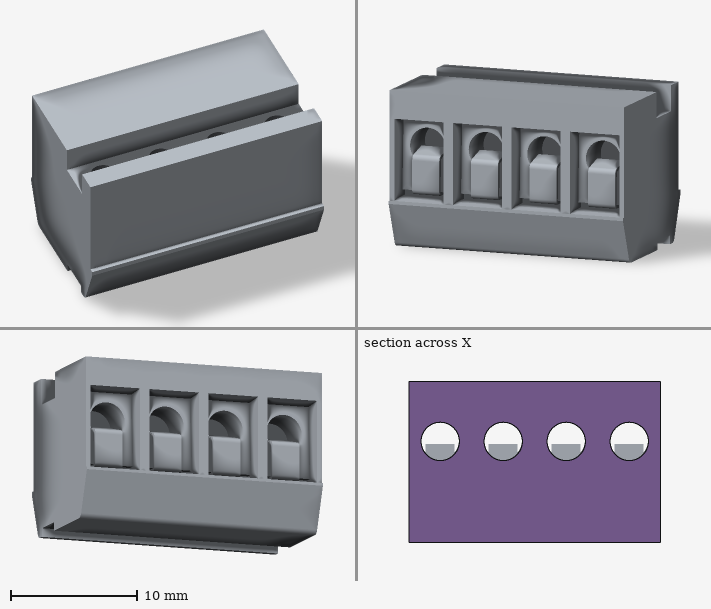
import cadquery as cq
import math

length = 20.0
overall_width = 12.4
height = 12.8
pitch = 5.0
pole_count = 4

left_face_x = 0.22
right_face_x = 12.03
left_flange_top = 3.88
right_flange_top = 4.03
flange_bottom = 3.65
foot_inset = 1.43
foot_radius = 0.5

top_groove_x = (7.27, 10.37)
top_groove_floor = 10.7
bottom_groove_x = (7.4, 10.15)
bottom_groove_depth = 0.7

screw_x = 8.8
screw_diameter = 2.0

pocket_width = 4.2
pocket_mouth_top = 10.52
pocket_back_top = 10.38
pocket_floor = 3.99
floor_ramp_run = 0.93
wall_bottom = 4.51
wall_bottom_x = left_face_x + 1.76
wall_lean = math.radians(2.3)
undercut_depth = 0.6
wall_top_x = wall_bottom_x + (pocket_back_top - wall_bottom) * math.tan(wall_lean)

bore_diameter = 3.0
bore_depth = 3.2
bore_lead = 1.0
bore_z = 8.1
bore_x = wall_bottom_x + (bore_z - wall_bottom) * math.tan(wall_lean)

tongue_width = 2.3
tongue_front_x = left_face_x + 1.47
tongue_bottom = 4.2
tongue_bottom_radius = 0.37
tongue_top_radius = 0.45
lip_start_z = 7.41
lip_end_z = 7.82
lip_slope = math.radians(14.0)


def housing():
    """Side profile with flanges, sloped flanks and both grooves, extruded along Y."""
    profile = (
        cq.Workplane("XZ")
        .moveTo(foot_inset, 0)
        .lineTo(overall_width - foot_inset, 0)
        .lineTo(overall_width, flange_bottom)
        .lineTo(overall_width, right_flange_top)
        .lineTo(right_face_x, right_flange_top)
        .lineTo(right_face_x, height)
        .lineTo(left_face_x, height)
        .lineTo(left_face_x, left_flange_top)
        .lineTo(0, left_flange_top)
        .lineTo(0, flange_bottom)
        .close()
    )
    body = profile.extrude(length / 2, both=True)
    body = body.faces("<Z").edges("|Y").fillet(foot_radius)
    body = body.cut(groove(top_groove_x, top_groove_floor, height))
    return body.cut(groove(bottom_groove_x, 0, bottom_groove_depth))


def groove(x_range, z_low, z_high):
    """Rectangular channel running the full length."""
    start, end = x_range
    channel = cq.Workplane("XY").box(end - start, length, z_high - z_low, centered=(False, True, False))
    return channel.translate((start, 0, z_low))


def screw_hole():
    """Vertical through hole."""
    return cq.Workplane("XY").center(screw_x, 0).circle(screw_diameter / 2).extrude(height)


def pocket():
    """Wire-entry opening: tapered roof, ramped floor, leaning back wall, undercut at its foot."""
    undercut_x = wall_bottom_x + undercut_depth
    profile = (
        cq.Workplane("XZ")
        .moveTo(left_face_x, left_flange_top)
        .lineTo(left_face_x + floor_ramp_run, pocket_floor)
        .lineTo(undercut_x, pocket_floor)
        .lineTo(undercut_x, wall_bottom)
        .lineTo(wall_bottom_x, wall_bottom)
        .lineTo(wall_top_x, pocket_back_top)
        .lineTo(left_face_x, pocket_mouth_top)
        .close()
    )
    return profile.extrude(pocket_width / 2, both=True)


def bore():
    """Blind round hole running inward and slightly down."""
    axis = cq.Vector(math.cos(wall_lean), 0, -math.sin(wall_lean))
    start = cq.Vector(bore_x, 0, bore_z) - axis * bore_lead
    return cq.Workplane(
        cq.Solid.makeCylinder(bore_diameter / 2, bore_depth + bore_lead, start, axis)
    )


def tongue():
    """Clamp tongue: vertical front, rounded top and bottom edges, lip rising into the bore."""
    top_centre_x = tongue_front_x + tongue_top_radius
    top_centre_z = lip_start_z - tongue_top_radius * math.cos(lip_slope)
    lip_start_x = top_centre_x - tongue_top_radius * math.sin(lip_slope)
    lip_end_x = lip_start_x + (lip_end_z - lip_start_z) / math.tan(lip_slope)
    mid_angle = math.pi / 4 - lip_slope / 2
    arc_mid = (
        top_centre_x - tongue_top_radius * math.cos(mid_angle),
        top_centre_z + tongue_top_radius * math.sin(mid_angle),
    )
    bottom_mid_offset = tongue_bottom_radius * (1 - math.cos(math.pi / 4))
    profile = (
        cq.Workplane("XZ")
        .moveTo(tongue_front_x, tongue_bottom + tongue_bottom_radius)
        .lineTo(tongue_front_x, top_centre_z)
        .threePointArc(arc_mid, (lip_start_x, lip_start_z))
        .lineTo(lip_end_x, lip_end_z)
        .lineTo(lip_end_x, tongue_bottom)
        .lineTo(tongue_front_x + tongue_bottom_radius, tongue_bottom)
        .threePointArc(
            (tongue_front_x + bottom_mid_offset, tongue_bottom + bottom_mid_offset),
            (tongue_front_x, tongue_bottom + tongue_bottom_radius),
        )
        .close()
    )
    return profile.extrude(tongue_width / 2, both=True)


pole_cut = pocket().union(bore()).cut(tongue()).union(screw_hole())

result = housing()
for pole in range(pole_count):
    pole_y = (pole - (pole_count - 1) / 2) * pitch
    result = result.cut(pole_cut.translate((0, pole_y, 0)))